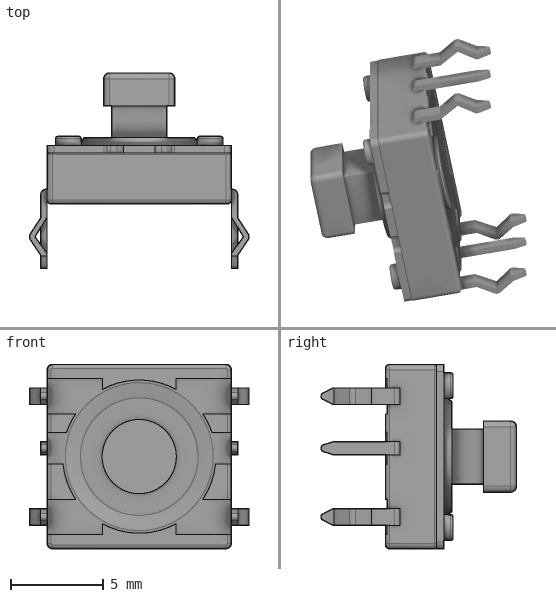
import cadquery as cq
import math


body_side = 10.0
body_half = body_side / 2
body_back = 2.76
body_corner_radius = 0.3
body_front_fillet = 0.21
body_back_fillet = 0.1

cover_back = 3.17
cover_corner_radius = 0.38
notch_depth = 0.2
notch_outer = 1.92
notch_floor_outer = 1.57
notch_floor_inner = 1.2
notch_inner = 0.85

collar_back = 3.59
collar_base_radius = 3.31
collar_top_radius = 3.0
rivet_offset = 3.84
rivet_radius = 0.7
rivet_back = 3.67
rivet_fillet = 0.13
stem_side = 3.0
stem_edge_fillet = 0.04
cap_side = 3.87
cap_front = 5.31
cap_back = 7.1
cap_fillet = 0.33

relief_depth = 0.1
relief_radius = 4.15
rim_tab_half_width = 2.0
dish_outer_radius = 4.01
dish_inner_radius = 3.19
dish_depth = 0.2
boss_radius = 2.01

terminal_thickness = 0.35
terminal_outer = body_half + terminal_thickness
terminal_top = 0.8
terminal_shoulder_radius = 0.3
terminal_tip = -3.5
taper_start = -2.83
tip_round_start = -3.35
tip_half_width = 0.19
relief_margin = 0.5
leg_width = 0.92
leg_offset = 3.27
pin_width = 0.71
pin_offset = 0.45
kink_reach = 5.95
kink_radius = 0.31
kink_center_y = -1.78
kink_outer_start = -0.75
kink_outer_end = -2.78
kink_inner_start = -0.71
kink_inner_end = -2.68

terminals = [
    (leg_offset, leg_width, True),
    (pin_offset, pin_width, False),
    (-leg_offset, leg_width, True),
]

overshoot = 0.12


def cylinder(radius, y_start, y_end, x=0, z=0):
    """Round disc along +Y."""
    return cq.Workplane("XZ", origin=(x, y_start, z)).circle(radius).extrude(y_start - y_end)


def square_block(side, y_start, y_end):
    """Square block along +Y, centred on the push axis."""
    return cq.Workplane("XZ", origin=(0, y_start, 0)).rect(side, side).extrude(y_start - y_end)


def cone(start_radius, end_radius, y_start, y_end):
    """Solid frustum around the push axis."""
    outline = [(0, y_start), (start_radius, y_start), (end_radius, y_end), (0, y_end)]
    return cq.Workplane("XY").polyline(outline).close().revolve(360, (0, 0, 0), (0, 1, 0))


def make_housing():
    housing = square_block(body_side, 0, body_back).edges("|Y").fillet(body_corner_radius)
    housing = housing.faces("<Y").edges().fillet(body_front_fillet)
    return housing.faces(">Y").edges().fillet(body_back_fillet)


def make_notch():
    """Cutter for the notch in the +Z cover edge, on the +X half."""
    floor_z = body_half - notch_depth
    middle = ((notch_outer + notch_floor_outer) / 2, body_half - notch_depth / 2)
    return (
        cq.Workplane("XZ", origin=(0, body_back, 0))
        .moveTo(notch_outer + overshoot, body_half)
        .lineTo(notch_outer, body_half)
        .tangentArcPoint(middle, relative=False)
        .tangentArcPoint((notch_floor_outer, floor_z), relative=False)
        .lineTo(notch_floor_inner, floor_z)
        .tangentArcPoint((notch_inner, body_half), relative=False)
        .lineTo(notch_inner, body_half + overshoot)
        .lineTo(notch_outer + overshoot, body_half + overshoot)
        .close()
        .extrude(body_back - cover_back)
    )


def make_cover():
    cover = square_block(body_side, body_back, cover_back).edges("|Y").fillet(cover_corner_radius)
    notch = make_notch()
    notch_pair = notch.union(notch.mirror("YZ"))
    return cover.cut(notch_pair).cut(notch_pair.mirror("XY"))


def make_button():
    stem = square_block(stem_side, cover_back, cap_front).edges("|Y").fillet(stem_edge_fillet)
    cap = square_block(cap_side, cap_front, cap_back).edges("|Y").fillet(cap_fillet)
    cap = cap.faces(">Y").edges().fillet(cap_fillet)
    return stem.union(cap)


def make_rivet(x, z):
    return cylinder(rivet_radius, cover_back, rivet_back, x, z).faces(">Y").edges().fillet(rivet_fillet)


def make_relief():
    """Shallow cutter: a band across the housing at every terminal, and a round field in the middle."""
    field = cylinder(relief_radius, 0, relief_depth)
    bands = cq.Workplane("XZ")
    for z, width, _ in terminals:
        bands = bands.union(
            cq.Workplane("XZ")
            .center(0, z)
            .rect(body_side, width + 2 * relief_margin)
            .extrude(-relief_depth)
        )
    rim_tabs = cq.Workplane("XZ").rect(2 * rim_tab_half_width, body_side).extrude(-relief_depth)
    return bands.cut(rim_tabs).union(field)


def terminal_silhouette(z, width):
    """Pointed blade in the YZ plane, extruded past the reach of the terminals in +X."""
    half = width / 2
    return (
        cq.Workplane("YZ")
        .moveTo(terminal_top, z - half)
        .lineTo(taper_start, z - half)
        .lineTo(tip_round_start, z - tip_half_width)
        .threePointArc((terminal_tip, z), (tip_round_start, z + tip_half_width))
        .lineTo(taper_start, z + half)
        .lineTo(terminal_top, z + half)
        .close()
        .extrude(kink_reach + overshoot)
    )


def tangent_point(x, y, side):
    """Point where the line from (x, y) touches the kink arc; side is +1 above the arc, -1 below."""
    center_x = kink_reach - kink_radius
    dx = x - center_x
    dy = y - kink_center_y
    angle = math.atan2(dy, dx) - side * math.acos(kink_radius / math.hypot(dx, dy))
    return (center_x + kink_radius * math.cos(angle), kink_center_y + kink_radius * math.sin(angle))


def terminal_strip(kinked):
    """Side profile of the +X terminals: straight, or bent outward to snap into the board."""
    shoulder_y = terminal_top - terminal_shoulder_radius
    strip = (
        cq.Workplane("XY", origin=(0, 0, -body_half))
        .moveTo(body_half, terminal_top)
        .lineTo(terminal_outer - terminal_shoulder_radius, terminal_top)
        .tangentArcPoint((terminal_outer, shoulder_y), relative=False)
    )
    if kinked:
        strip = (
            strip.lineTo(terminal_outer, kink_outer_start)
            .lineTo(*tangent_point(terminal_outer, kink_outer_start, 1))
            .threePointArc((kink_reach, kink_center_y), tangent_point(terminal_outer, kink_outer_end, -1))
            .lineTo(terminal_outer, kink_outer_end)
        )
    strip = strip.lineTo(terminal_outer, terminal_tip).lineTo(body_half, terminal_tip)
    if kinked:
        strip = (
            strip.lineTo(body_half, kink_inner_end)
            .lineTo(kink_reach - kink_radius, kink_center_y)
            .lineTo(body_half, kink_inner_start)
        )
    return strip.close().extrude(body_side)


def make_terminal(z, width, kinked):
    return terminal_strip(kinked).intersect(terminal_silhouette(z, width))


housing = make_housing().cut(make_relief())
housing = housing.cut(cone(dish_outer_radius, dish_inner_radius, relief_depth, dish_depth))
housing = housing.union(cylinder(boss_radius, 0, dish_depth))

result = housing.union(make_cover())
result = result.union(cone(collar_base_radius, collar_top_radius, cover_back, collar_back))
result = result.union(make_button())
for x in (-rivet_offset, rivet_offset):
    for z in (-rivet_offset, rivet_offset):
        result = result.union(make_rivet(x, z))

for z, width, kinked in terminals:
    terminal = make_terminal(z, width, kinked)
    result = result.union(terminal).union(terminal.mirror("YZ"))